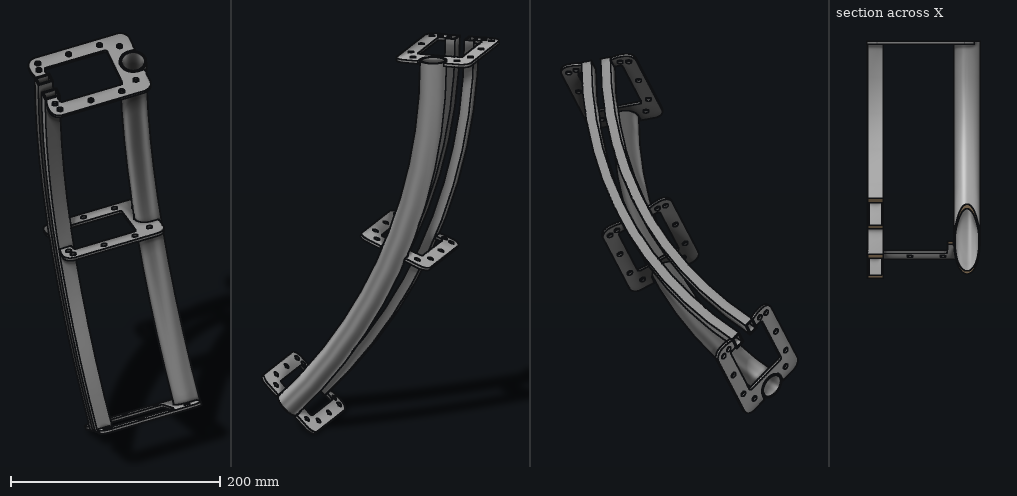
import cadquery as cq
import math

OVERALL_HEIGHT = 380.0
BEND_ANGLE = 45.0

PLATE_WIDTH = 75.0
PLATE_DEPTH = 103.0
PLATE_THICKNESS = 3.0
PLATE_CORNER_RADIUS = 10.0
SIDE_BAR_WIDTH = 15.2
BACK_BAR_DEPTH = 26.0
FRONT_BAR_DEPTH = 13.3
WINDOW_CORNER_RADIUS = 2.3
BOLT_HOLE_DIAMETER = 5.5

SLOT_FLARE_WIDTH = 7.5
SLOT_FLARE_DEPTH = 2.0

SIDE_HOLE_HALF_SPACING = 30.0
SIDE_HOLE_FRONT_INSET = 10.0
SIDE_HOLE_PITCH = 31.5
SIDE_HOLES_PER_ROW = 3

CORNER_HOLE_HALF_SPACING = 22.0
CORNER_HOLE_FRONT_INSET = 8.0
CORNER_HOLE_BACK_INSET = 12.5

TUBE_DIAMETER = 25.5
TUBE_WALL = 1.5
TUBE_BACK_OVERHANG = 5.7
TUBE_CLEARANCE = 0.5

RAIL_WIDTH = 10.0
RAIL_DEPTH = 15.2
RAIL_WALL = 1.5
RAIL_GAP = 9.0
RAIL_FRONT_INSET = 0.8

BEND_RADIUS = OVERALL_HEIGHT / math.sin(math.radians(BEND_ANGLE)) - PLATE_WIDTH / 2
TUBE_RADIUS = TUBE_DIAMETER / 2
TUBE_Y = PLATE_DEPTH + TUBE_BACK_OVERHANG - TUBE_RADIUS
RAIL_OFFSET = (RAIL_GAP + RAIL_WIDTH) / 2
RAIL_Y = RAIL_FRONT_INSET + RAIL_DEPTH / 2
RAIL_SLOT_WIDTH = RAIL_GAP + 2 * RAIL_WIDTH


def bend(profile):
    """Sweep a closed profile in the top plane down around the bend axis."""
    return profile.revolve(BEND_ANGLE, (BEND_RADIUS, 0), (BEND_RADIUS, -1))


def box_below_top(width, y_start, y_end):
    """Block centred on X, as thick as a plate, with its upper face in the top plane."""
    return (
        cq.Workplane("XY")
        .center(0, (y_start + y_end) / 2)
        .rect(width, y_end - y_start)
        .extrude(-PLATE_THICKNESS)
    )


def tube_notch():
    """Round-bottomed notch that is open at the back edge and clears the tube."""
    radius = TUBE_RADIUS + TUBE_CLEARANCE
    bore = cq.Workplane("XY").center(0, TUBE_Y).circle(radius).extrude(-PLATE_THICKNESS)
    return bore.union(box_below_top(2 * radius, TUBE_Y, PLATE_DEPTH))


def rail_slot():
    """Curved cutter, open at the front, that fits around both rails and flares at its mouth."""
    half_slot = RAIL_SLOT_WIDTH / 2
    slot_back = RAIL_Y + RAIL_DEPTH / 2
    profile = (
        cq.Workplane("XY")
        .moveTo(half_slot + SLOT_FLARE_WIDTH, 0)
        .lineTo(half_slot, SLOT_FLARE_DEPTH)
        .lineTo(half_slot, slot_back)
        .lineTo(-half_slot, slot_back)
        .lineTo(-half_slot, SLOT_FLARE_DEPTH)
        .lineTo(-half_slot - SLOT_FLARE_WIDTH, 0)
        .close()
    )
    return bend(profile)


def bolt_holes():
    """Cutters for the side rows and the corner holes."""
    back_y = PLATE_DEPTH - CORNER_HOLE_BACK_INSET
    points = []
    for side in (-1, 1):
        for row in range(SIDE_HOLES_PER_ROW):
            points.append((side * SIDE_HOLE_HALF_SPACING, SIDE_HOLE_FRONT_INSET + row * SIDE_HOLE_PITCH))
        for y in (CORNER_HOLE_FRONT_INSET, back_y):
            points.append((side * CORNER_HOLE_HALF_SPACING, y))
    return cq.Workplane("XY").pushPoints(points).circle(BOLT_HOLE_DIAMETER / 2).extrude(-PLATE_THICKNESS)


def plate_blank():
    """Plate in its top position with every cutout except the rail slot."""
    outline = box_below_top(PLATE_WIDTH, 0, PLATE_DEPTH).edges("|Z").fillet(PLATE_CORNER_RADIUS)
    window = box_below_top(PLATE_WIDTH - 2 * SIDE_BAR_WIDTH, FRONT_BAR_DEPTH, PLATE_DEPTH - BACK_BAR_DEPTH)
    window = window.edges("|Z").fillet(WINDOW_CORNER_RADIUS)
    return outline.cut(window).cut(tube_notch()).cut(bolt_holes())


def make_plate(angle, lift):
    """Plate raised along its normal by `lift`, turned down the bend by `angle`, then slotted."""
    raised = plate_blank().translate((0, 0, lift))
    placed = raised.rotate((BEND_RADIUS, 0, 0), (BEND_RADIUS, -1, 0), angle)
    return placed.cut(rail_slot())


def make_tube():
    """Hollow round tube centred on the plate width."""
    return bend(cq.Workplane("XY").center(0, TUBE_Y).circle(TUBE_RADIUS).circle(TUBE_RADIUS - TUBE_WALL))


def make_rail(x):
    """Hollow rectangular rail centred on `x`."""
    center = [(x, RAIL_Y)]
    profile = cq.Workplane("XY").pushPoints(center).rect(RAIL_WIDTH, RAIL_DEPTH)
    profile = profile.pushPoints(center).rect(RAIL_WIDTH - 2 * RAIL_WALL, RAIL_DEPTH - 2 * RAIL_WALL)
    return bend(profile)


tube = make_tube()
rails = [make_rail(side * RAIL_OFFSET) for side in (-1, 1)]
plates = [
    make_plate(0, 0),
    make_plate(BEND_ANGLE / 2, 0),
    make_plate(BEND_ANGLE, PLATE_THICKNESS),
]

result = cq.Compound.makeCompound(
    [tube.val()] + [rail.val() for rail in rails] + [plate.val() for plate in plates]
)